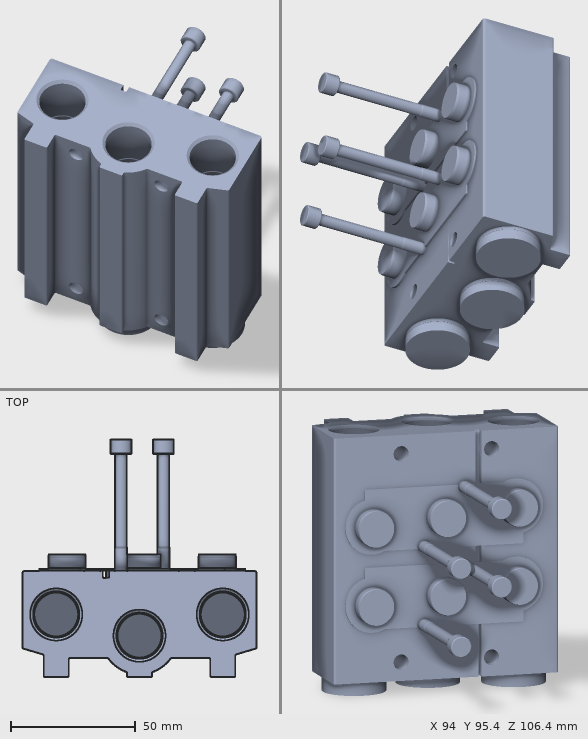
import cadquery as cq
import math


BODY_WIDTH = 94.0
BODY_DEPTH = 42.5
BODY_HEIGHT = 100.3
SIDE_DEPTH = 31.1
SHOULDER_DEPTH = 33.6
VALLEY_DEPTH = 35.0
RIB_WIDTH = 10.1
HUMP_RADIUS = 15.5
BACK_RADIUS = 1.0
SHOULDER_RADIUS = 0.7
RIB_RADIUS = 0.5
ROOT_RADIUS = 0.4

BORE_PITCH = 33.4
SIDE_BORE_Y = -17.4
MIDDLE_BORE_Y = -26.0
BORE_CENTERS = [(-BORE_PITCH, SIDE_BORE_Y), (0, MIDDLE_BORE_Y), (BORE_PITCH, SIDE_BORE_Y)]
BORE_DIAMETER = 17.5
SEAT_DIAMETER = 18.6
SEAT_DEPTH = 21.3
BORE_MOUTH_DIAMETER = 21.0
PLUG_DIAMETER = 26.0
PLUG_HEIGHT = 6.1
PLUG_SPIGOT_LENGTH = 12.8
PLUG_GROOVE_TOP = 1.5
PLUG_GROOVE_WIDTH = 0.3
PLUG_GROOVE_DEPTH = 0.1

MOUNT_HOLE_DIAMETER = 6.3
MOUNT_HOLE_X = 18.9
MOUNT_HOLE_INSET = 7.7

GROOVE_X = -13.4
GROOVE_WIDTH = 2.5
GROOVE_DEPTH = 2.8
GROOVE_BOTTOM_RADIUS = 0.5
NARROW_WIDTH = 1.2
NARROW_HEIGHT = BODY_HEIGHT / 2

VALVE_X = 1.1
VALVE_CENTER_Z = 50.3
VALVE_PITCH = 31.9
VALVE_HEIGHTS = [VALVE_CENTER_Z + side * VALVE_PITCH / 2 for side in (-1, 1)]
BOLT_OFFSET_X = 8.5
BOLT_OFFSET_Z = 11.7

GASKET_THICKNESS = 0.9
LOBE_RADIUS = 11.3
PLATE_WIDTH = 66.4
PLATE_HEIGHT = 25.3
PLATE_RADIUS = 0.7
NOTCH_DIAMETER = 5.4
NOTCH_LIP_RADIUS = 0.3
BOSS_DIAMETER = 15.1
BOSS_PITCH = 30.1
BOSS_DROP = 2.7
BOSS_POSITIONS = [(step * BOSS_PITCH, -step * BOSS_DROP) for step in (-1, 0, 1)]
BOSS_REACH = 6.7
BOSS_CHAMFER_LENGTH = 1.0
BOSS_CHAMFER_INSET = 0.2
NECK_TOP = 1.3
NECK_DEPTH = 0.1

SHANK_DIAMETER = 4.8
THREAD_DIAMETER = 5.0
HEAD_DIAMETER = 8.5
HEAD_LENGTH = 6.1
HEAD_CHAMFER = 0.3
BOLT_REACH = 52.9
THREAD_REACH = 9.7
THREAD_TAPER = 0.4
BOLT_ENGAGEMENT = 8.5


def hump_depth(x):
    """Depth from the back face to the round hump at a distance x from its middle."""
    return math.sqrt(HUMP_RADIUS**2 - x**2) - MIDDLE_BORE_Y


def housing_profile():
    half_width = BODY_WIDTH / 2
    rib_half = RIB_WIDTH / 2
    rib_outer = BORE_PITCH + rib_half
    rib_inner = BORE_PITCH - rib_half
    hump_half = math.sqrt(HUMP_RADIUS**2 - (VALLEY_DEPTH + MIDDLE_BORE_Y) ** 2)
    hump_rib_y = -hump_depth(rib_half)
    arc_angle = (math.asin(rib_half / HUMP_RADIUS) + math.asin(hump_half / HUMP_RADIUS)) / 2
    arc_x = HUMP_RADIUS * math.sin(arc_angle)
    arc_y = -hump_depth(arc_x)
    return (
        cq.Workplane("XY")
        .moveTo(-half_width, 0)
        .lineTo(-half_width, -SIDE_DEPTH)
        .lineTo(-rib_outer, -SHOULDER_DEPTH)
        .lineTo(-rib_outer, -BODY_DEPTH)
        .lineTo(-rib_inner, -BODY_DEPTH)
        .lineTo(-rib_inner, -VALLEY_DEPTH)
        .lineTo(-hump_half, -VALLEY_DEPTH)
        .threePointArc((-arc_x, arc_y), (-rib_half, hump_rib_y))
        .lineTo(-rib_half, -BODY_DEPTH)
        .lineTo(rib_half, -BODY_DEPTH)
        .lineTo(rib_half, hump_rib_y)
        .threePointArc((arc_x, arc_y), (hump_half, -VALLEY_DEPTH))
        .lineTo(rib_inner, -VALLEY_DEPTH)
        .lineTo(rib_inner, -BODY_DEPTH)
        .lineTo(rib_outer, -BODY_DEPTH)
        .lineTo(rib_outer, -SHOULDER_DEPTH)
        .lineTo(half_width, -SIDE_DEPTH)
        .lineTo(half_width, 0)
        .close()
    )


def revolved_z(points):
    """Solid of revolution about Z from (radius, z) points."""
    return cq.Workplane("XZ").polyline(points).close().revolve(360, (0, 0, 0), (0, 1, 0))


def revolved_y(points):
    """Solid of revolution about Y from (radius, y) points."""
    return cq.Workplane("XY").polyline(points).close().revolve(360, (0, 0, 0), (0, 1, 0))


def bore_cutter():
    bore = BORE_DIAMETER / 2
    seat = SEAT_DIAMETER / 2
    mouth = BORE_MOUTH_DIAMETER / 2
    seat_floor = BODY_HEIGHT - SEAT_DEPTH
    mouth_floor = BODY_HEIGHT - (mouth - seat)
    return revolved_z([
        (0, 0), (bore, 0), (bore, seat_floor), (seat, seat_floor),
        (seat, mouth_floor), (mouth, BODY_HEIGHT), (0, BODY_HEIGHT),
    ])


def groove_cutter():
    left = GROOVE_X - GROOVE_WIDTH / 2
    right = left + GROOVE_WIDTH
    shoulder = GROOVE_WIDTH - NARROW_WIDTH
    wide = (
        cq.Workplane("XY")
        .box(GROOVE_WIDTH, GROOVE_DEPTH, BODY_HEIGHT, centered=(True, False, False))
        .translate((GROOVE_X, -GROOVE_DEPTH, 0))
        .edges("|Z and <Y")
        .fillet(GROOVE_BOTTOM_RADIUS)
    )
    step = (
        cq.Workplane("XZ")
        .moveTo(left + NARROW_WIDTH, 0)
        .lineTo(right, 0)
        .lineTo(right, NARROW_HEIGHT)
        .radiusArc((left + NARROW_WIDTH, NARROW_HEIGHT - shoulder), -shoulder)
        .close()
        .extrude(GROOVE_DEPTH)
    )
    return wide.cut(step)


def bolt_positions():
    """(x, z) of each bolt axis: upper left and lower right of every valve."""
    return [
        (VALVE_X + side * BOLT_OFFSET_X, height - side * BOLT_OFFSET_Z)
        for height in VALVE_HEIGHTS
        for side in (-1, 1)
    ]


def edges_between(depth, reach):
    """Selects edges at one depth from the back face, up to a reach on either side of X = 0."""
    margin = 0.1
    return cq.selectors.BoxSelector(
        (-reach - margin, -depth - margin, 0), (reach + margin, -depth + margin, BODY_HEIGHT)
    )


def make_housing():
    body = housing_profile().extrude(BODY_HEIGHT)
    body = body.edges("|Z and <Y").fillet(RIB_RADIUS)
    body = body.edges("|Z and >Y").fillet(BACK_RADIUS)
    body = body.edges("|Z").edges(edges_between(SIDE_DEPTH, BODY_WIDTH)).fillet(SHOULDER_RADIUS)
    rib_outer = BORE_PITCH + RIB_WIDTH / 2
    for depth in (SHOULDER_DEPTH, VALLEY_DEPTH, hump_depth(RIB_WIDTH / 2)):
        body = body.edges("|Z").edges(edges_between(depth, rib_outer)).fillet(ROOT_RADIUS)

    for x, y in BORE_CENTERS:
        body = body.cut(bore_cutter().translate((x, y, 0)))
    mount_holes = (
        cq.Workplane("XZ")
        .pushPoints([
            (x, z)
            for x in (-MOUNT_HOLE_X, MOUNT_HOLE_X)
            for z in (MOUNT_HOLE_INSET, BODY_HEIGHT - MOUNT_HOLE_INSET)
        ])
        .circle(MOUNT_HOLE_DIAMETER / 2)
        .extrude(BODY_DEPTH)
    )
    bolt_holes = (
        cq.Workplane("XZ")
        .pushPoints(bolt_positions())
        .circle(THREAD_DIAMETER / 2)
        .extrude(BOLT_ENGAGEMENT)
    )
    return body.cut(mount_holes).cut(bolt_holes).cut(groove_cutter())


def make_plug(x, y):
    rim = PLUG_DIAMETER / 2
    groove_bottom = PLUG_GROOVE_TOP + PLUG_GROOVE_WIDTH
    spigot = BORE_DIAMETER / 2
    plug = revolved_z([
        (0, -PLUG_HEIGHT),
        (rim, -PLUG_HEIGHT),
        (rim, -groove_bottom),
        (rim - PLUG_GROOVE_DEPTH, -groove_bottom),
        (rim - PLUG_GROOVE_DEPTH, -PLUG_GROOVE_TOP),
        (rim, -PLUG_GROOVE_TOP),
        (rim, 0),
        (spigot, 0),
        (spigot, PLUG_SPIGOT_LENGTH),
        (0, PLUG_SPIGOT_LENGTH),
    ])
    return plug.translate((x, y, 0))


def make_gasket(valve_height):
    """Gasket sheet and its bosses, with notches for the two bolts of the valve."""
    plate = (
        cq.Workplane("XZ")
        .rect(PLATE_WIDTH, PLATE_HEIGHT)
        .extrude(-GASKET_THICKNESS)
        .edges("|Y")
        .fillet(PLATE_RADIUS)
    )
    notches = (
        cq.Workplane("XZ")
        .pushPoints([(-BOLT_OFFSET_X, BOLT_OFFSET_Z), (BOLT_OFFSET_X, -BOLT_OFFSET_Z)])
        .circle(NOTCH_DIAMETER / 2)
        .extrude(-GASKET_THICKNESS)
    )
    lip_reach = BOLT_OFFSET_X + NOTCH_DIAMETER
    lip_edges = cq.selectors.BoxSelector(
        (-lip_reach, -1.1, -PLATE_HEIGHT), (lip_reach, GASKET_THICKNESS + 1.1, PLATE_HEIGHT)
    )
    plate = plate.cut(notches).edges("|Y").edges(lip_edges).fillet(NOTCH_LIP_RADIUS)
    lobes = (
        cq.Workplane("XZ")
        .pushPoints([BOSS_POSITIONS[0], BOSS_POSITIONS[-1]])
        .circle(LOBE_RADIUS)
        .extrude(-GASKET_THICKNESS)
    )
    gasket = plate.union(lobes)

    radius = BOSS_DIAMETER / 2
    boss = revolved_y([
        (0, 0),
        (radius - NECK_DEPTH, 0),
        (radius - NECK_DEPTH, NECK_TOP),
        (radius, NECK_TOP),
        (radius, BOSS_REACH - BOSS_CHAMFER_LENGTH),
        (radius - BOSS_CHAMFER_INSET, BOSS_REACH),
        (0, BOSS_REACH),
    ])
    for x, z in BOSS_POSITIONS:
        gasket = gasket.union(boss.translate((x, 0, z)))
    return gasket.translate((VALVE_X, 0, valve_height))


def make_bolt(x, z):
    shank = SHANK_DIAMETER / 2
    thread = THREAD_DIAMETER / 2
    head = HEAD_DIAMETER / 2
    head_start = BOLT_REACH - HEAD_LENGTH
    bolt = revolved_y([
        (0, -BOLT_ENGAGEMENT),
        (thread, -BOLT_ENGAGEMENT),
        (thread, THREAD_REACH - THREAD_TAPER),
        (shank, THREAD_REACH),
        (shank, head_start),
        (head - HEAD_CHAMFER, head_start),
        (head, head_start + HEAD_CHAMFER),
        (head, BOLT_REACH - HEAD_CHAMFER),
        (head - HEAD_CHAMFER, BOLT_REACH),
        (0, BOLT_REACH),
    ])
    return bolt.translate((x, 0, z))


housing = make_housing()
plugs = [make_plug(x, y) for x, y in BORE_CENTERS]
gaskets = [make_gasket(height) for height in VALVE_HEIGHTS]
bolts = [make_bolt(x, z) for x, z in bolt_positions()]

result = cq.Compound.makeCompound(
    [housing.val()] + [body.val() for body in plugs + gaskets + bolts]
)